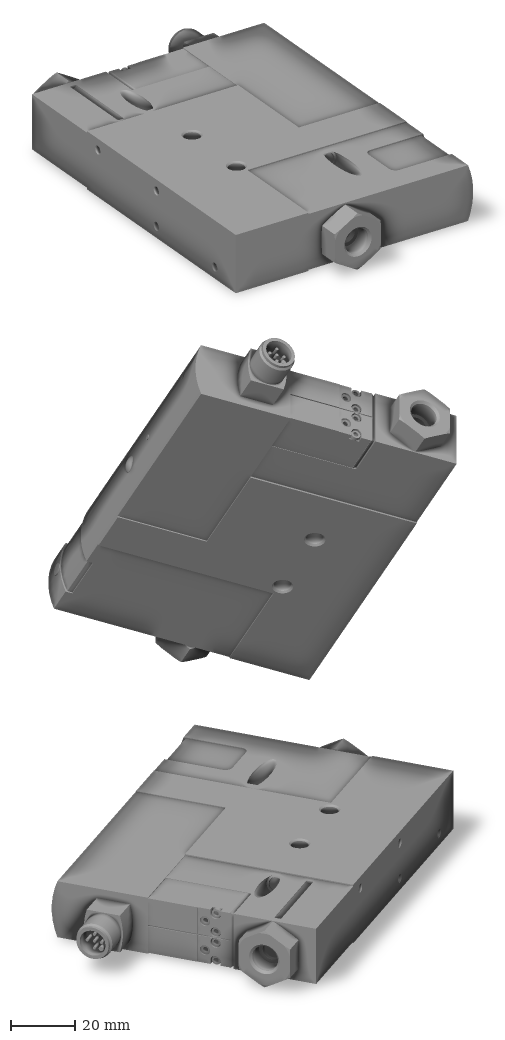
import cadquery as cq
import math


LENGTH = 115.0
HEIGHT = 20.5
HALF_HEIGHT = HEIGHT / 2
BACK_Y = 88.7
BACK_BULGE = 2.1

PANEL_DROP = 0.4
PANEL_SEAM = 0.1
COVER_END_X = 65.4
COVER_FRONT_Y = 56.4
PORT_PANEL_END_X = 31.2
OUTLET_PANEL_X = 80.5
OUTLET_PANEL_Y = 27.2

VALVE_END_X = 15.0
VALVE_FRONT_Y = 28.9
VALVE_GAP = 1.3
VALVE_GAP_DEPTH = 1.0
VALVE_FACE_SETBACK = 0.1
SCREW_PLATE_Y = 39.8
SCREW_PLATE_SETBACK = 0.3
VALVE_SPLIT = 0.4
VALVE_SPLIT_DEPTH = 0.5

SCREW_Y = 33.8
SCREW_ZS = (-8.2, -1.8, 1.8, 8.2)
SCREW_RECESS_DIA = 3.4
SCREW_RECESS_DEPTH = 2.3
SCREW_HEAD_DIA = 3.0
SCREW_HEAD_HEIGHT = 1.4
SCREW_SOCKET_DIA = 1.7
SCREW_SOCKET_DEPTH = 0.7
PLATE_BORE_Y = 37.4
PLATE_BORE_Z = 5.1
PLATE_BORE_DIA = 3.4
PLATE_BORE_DEPTH = 0.5
PLATE_BORE_PILOT_DIA = 1.7
PLATE_BORE_PILOT_DEPTH = 1.4

POCKET_X = 89.7
POCKET_END_X = 105.9
POCKET_FRONT_Y = 64.9
POCKET_DEPTH = 0.4
POCKET_RADIUS = 2.4

MOUNT_XS = (51.2, 76.3)
MOUNT_Y = 26.0
MOUNT_DIA = 5.5
MOUNT_CHAMFER = 0.5

FRONT_HOLE_X = 37.2
FRONT_HOLE_PITCH = 33.0
FRONT_HOLE_Z = 6.2
FRONT_HOLE_DIA = 2.4
FRONT_HOLE_MOUTH_DIA = 3.0
FRONT_HOLE_DEPTH = 5.6

SLANT_DIA = 5.6
SLANT_SCREW_DIA = 4.2
SLANT_SCREW_DEPTH = 0.7
OUTLET_SLANT_X = 92.1
OUTLET_SLANT_Y = 55.0
OUTLET_SLANT_ANGLE = 16.0
OUTLET_SLANT_REACH = 7.8
PORT_SLANT_X = 21.5
PORT_SLANT_Y = 25.0
PORT_SLANT_ANGLE = 20.0
PORT_SLANT_REACH = 7.0
SLANT_CUT_LENGTH = 28.2

GROOVE_X = 2.3
GROOVE_END_X = 29.5
GROOVE_Y = 13.8
GROOVE_WIDTH = 2.3

BACK_DETAIL_ROOT = 0.4
LAMP_X = 51.6
LAMP_DIA = 5.5
LAMP_HEIGHT = 1.0
BUTTON_X = 107.9
BUTTON_DIA = 4.0
BUTTON_HEIGHT = 0.3
STUD_X = 37.1
STUD_DIA = 1.7
STUD_HEIGHT = 0.3
BACK_RECESS_X = 11.0
BACK_RECESS_Z = 5.4
BACK_RECESS_DIA = 3.1
BACK_RECESS_DEPTH = 1.1

HEX_FLATS = 17.2
HEX_LENGTH = 7.5
HEX_CHAMFER_DIA = 18.0
HEX_CHAMFER_HEIGHT = 0.3
NECK_DIA = 14.0
INLET_NECK = 0.4
OUTLET_NECK = 1.0
INLET_Y = 14.2
OUTLET_Y = 40.0
TUBE_MOUTH_DIA = 10.2
TUBE_DIA = 8.6
TUBE_DEPTH = 6.3
FLOW_DIA = 6.0

PLUG_Y = 68.0
PLUG_LENGTH = 17.5
BASE_LENGTH = 8.5
BASE_HEIGHT = 12.8
BASE_FLAT_WIDTH = 11.1
BASE_WIDTH = 13.1
SLEEVE_DIA = 12.0
SLEEVE_TIP_DIA = 10.9
SLEEVE_TIP_LENGTH = 1.0
SLEEVE_TAPER_LENGTH = 0.5
SOCKET_DIA = 8.6
SOCKET_DEPTH = 5.6
CONTACT_DIA = 1.0
CONTACT_LENGTH = 4.2
CONTACT_PITCH_RADIUS = 2.4
KEY_DIA = 1.5
KEY_OFFSET = 2.3


def box(x0, x1, y0, y1, z0, z1):
    """Box between two opposite corners."""
    return cq.Workplane("XY").box(x1 - x0, y1 - y0, z1 - z0, centered=False).translate((x0, y0, z0))


def rod(start, direction, length, dia):
    """Cylinder from a start point along a direction."""
    return cq.Workplane(cq.Solid.makeCylinder(dia / 2, length, cq.Vector(*start), cq.Vector(*direction)))


def cone(start, direction, length, dia, end_dia):
    """Truncated cone from a start point along a direction."""
    solid = cq.Solid.makeCone(dia / 2, end_dia / 2, length, cq.Vector(*start), cq.Vector(*direction))
    return cq.Workplane(solid)


def housing_profile(half_height, back_y):
    """Bar along X with a flat front and a gently curved back."""
    edge_y = back_y - BACK_BULGE
    return (
        cq.Workplane("YZ")
        .moveTo(0, -half_height)
        .lineTo(0, half_height)
        .lineTo(edge_y, half_height)
        .threePointArc((back_y, 0), (edge_y, -half_height))
        .close()
        .extrude(LENGTH)
    )


def lower_panel(body, x0, x1, y0, y1, level):
    """Cut a rectangular area on both sides down to the given distance from the mid-plane."""
    upper = box(x0, x1, y0, y1, level, HALF_HEIGHT)
    return body.cut(upper).cut(upper.mirror("XY"))


def cut_panels(body):
    """Step the cover, outlet, port and valve areas down from the middle block."""
    level = HALF_HEIGHT - PANEL_DROP
    body = lower_panel(body, 0, COVER_END_X, COVER_FRONT_Y, BACK_Y, level)
    body = lower_panel(body, OUTLET_PANEL_X, LENGTH, OUTLET_PANEL_Y, BACK_Y, level)
    body = lower_panel(body, 0, PORT_PANEL_END_X, 0, COVER_FRONT_Y, level - PANEL_SEAM)
    return lower_panel(body, 0, VALVE_END_X, VALVE_FRONT_Y, COVER_FRONT_Y, level - 2 * PANEL_SEAM)


def cut_valves(body):
    """Set back the valve faces, split the two valves and part them from the port block."""
    gap_y = VALVE_FRONT_Y - VALVE_GAP
    body = body.cut(box(0, VALVE_FACE_SETBACK, gap_y, COVER_FRONT_Y, -HALF_HEIGHT, HALF_HEIGHT))
    body = body.cut(box(0, SCREW_PLATE_SETBACK, gap_y, SCREW_PLATE_Y, -HALF_HEIGHT, HALF_HEIGHT))
    split = box(0, VALVE_SPLIT_DEPTH, gap_y, COVER_FRONT_Y, -VALVE_SPLIT / 2, VALVE_SPLIT / 2)
    level = HALF_HEIGHT - PANEL_DROP - PANEL_SEAM
    gap = (
        cq.Workplane("YZ")
        .polyline([(gap_y, level), (gap_y, level - VALVE_GAP_DEPTH), (VALVE_FRONT_Y, level)])
        .close()
        .extrude(VALVE_END_X)
    )
    side_gap = (
        cq.Workplane("XY")
        .polyline([(0, gap_y), (VALVE_GAP_DEPTH, gap_y), (0, VALVE_FRONT_Y)])
        .close()
        .extrude(HALF_HEIGHT, both=True)
    )
    return body.cut(split).cut(gap).cut(gap.mirror("XY")).cut(side_gap)


def cut_screw_plate(body):
    """Recessed socket screws and small bores; the outer screw recesses are open to the outside."""
    half_width = SCREW_RECESS_DIA / 2
    for z in SCREW_ZS:
        body = body.cut(rod((0, SCREW_Y, z), (1, 0, 0), SCREW_RECESS_DEPTH, SCREW_RECESS_DIA))
    outer_z = max(SCREW_ZS)
    mouth = box(0, SCREW_RECESS_DEPTH, SCREW_Y - half_width, SCREW_Y + half_width, outer_z, HALF_HEIGHT)
    body = body.cut(mouth).cut(mouth.mirror("XY"))
    head_x = SCREW_RECESS_DEPTH - SCREW_HEAD_HEIGHT
    for z in SCREW_ZS:
        head = rod((head_x, SCREW_Y, z), (1, 0, 0), SCREW_HEAD_HEIGHT, SCREW_HEAD_DIA)
        socket = rod((head_x, SCREW_Y, z), (1, 0, 0), SCREW_SOCKET_DEPTH, SCREW_SOCKET_DIA)
        body = body.union(head.cut(socket))
    for z in (-PLATE_BORE_Z, PLATE_BORE_Z):
        start = (SCREW_PLATE_SETBACK, PLATE_BORE_Y, z)
        body = body.cut(rod(start, (1, 0, 0), PLATE_BORE_DEPTH, PLATE_BORE_DIA))
        body = body.cut(rod(start, (1, 0, 0), PLATE_BORE_PILOT_DEPTH, PLATE_BORE_PILOT_DIA))
    return body


def cut_label_pocket(body):
    """Shallow pocket that follows the upper side and the back."""
    window = (
        box(POCKET_X, POCKET_END_X, POCKET_FRONT_Y, BACK_Y, 0, HALF_HEIGHT)
        .edges("|Z and <Y")
        .fillet(POCKET_RADIUS)
        .union(box(POCKET_X, POCKET_END_X, BACK_Y - 2 * BACK_BULGE, BACK_Y, -HALF_HEIGHT, 0))
    )
    floor = housing_profile(HALF_HEIGHT - PANEL_DROP - POCKET_DEPTH, BACK_Y - POCKET_DEPTH)
    return body.cut(window.cut(floor))


def cut_mounting_holes(body):
    """Through holes chamfered at both ends."""
    mouth_dia = MOUNT_DIA + 2 * MOUNT_CHAMFER
    for x in MOUNT_XS:
        body = body.cut(rod((x, MOUNT_Y, -HALF_HEIGHT), (0, 0, 1), HEIGHT, MOUNT_DIA))
        for side in (-1, 1):
            start = (x, MOUNT_Y, side * HALF_HEIGHT)
            body = body.cut(cone(start, (0, 0, -side), MOUNT_CHAMFER, mouth_dia, MOUNT_DIA))
    return body


def cut_front_holes(body):
    """Two diagonal pairs of threaded holes that share the middle position."""
    places = [(0, 1), (1, 1), (1, -1), (2, -1)]
    mouth_depth = (FRONT_HOLE_MOUTH_DIA - FRONT_HOLE_DIA) / 2
    for step, side in places:
        start = (FRONT_HOLE_X + step * FRONT_HOLE_PITCH, 0, side * FRONT_HOLE_Z)
        body = body.cut(rod(start, (0, 1, 0), FRONT_HOLE_DEPTH, FRONT_HOLE_DIA))
        body = body.cut(cone(start, (0, 1, 0), mouth_depth, FRONT_HOLE_MOUTH_DIA, FRONT_HOLE_DIA))
    return body


def cut_slanted_bore(body, x, y, level, angle, reach, inward):
    """Bore sinking from the upper side toward inward (+1 or -1 along X), with a screw seat at its end."""
    run = inward * math.cos(math.radians(angle))
    rise = math.sin(math.radians(angle))
    end = (x + run * reach, y, level - rise * reach)
    body = body.cut(rod(end, (-run, 0, rise), SLANT_CUT_LENGTH, SLANT_DIA))
    return body.cut(rod(end, (run, 0, -rise), SLANT_SCREW_DEPTH, SLANT_SCREW_DIA))


def cut_upper_side(body):
    """Slanted screw bores beside both ports and the long groove."""
    level = HALF_HEIGHT - PANEL_DROP
    port_level = level - PANEL_SEAM
    body = cut_slanted_bore(
        body, OUTLET_SLANT_X, OUTLET_SLANT_Y, level, OUTLET_SLANT_ANGLE, OUTLET_SLANT_REACH, -1
    )
    body = cut_slanted_bore(
        body, PORT_SLANT_X, PORT_SLANT_Y, port_level, PORT_SLANT_ANGLE, PORT_SLANT_REACH, 1
    )
    groove_length = GROOVE_END_X - GROOVE_X
    return body.cut(rod((GROOVE_X, GROOVE_Y, port_level), (1, 0, 0), groove_length, GROOVE_WIDTH))


def add_back_details(body):
    """Domed lamp, button, stud and a small recess along the back."""
    lamp_radius = (LAMP_DIA**2 / 4 + LAMP_HEIGHT**2) / (2 * LAMP_HEIGHT)
    lamp_ball = cq.Workplane("XY").sphere(lamp_radius)
    lamp_ball = lamp_ball.translate((LAMP_X, BACK_Y + LAMP_HEIGHT - lamp_radius, 0))
    root_y = BACK_Y - BACK_DETAIL_ROOT
    lamp = rod((LAMP_X, root_y, 0), (0, 1, 0), BACK_DETAIL_ROOT + LAMP_HEIGHT, LAMP_DIA).intersect(lamp_ball)
    button = rod((BUTTON_X, root_y, 0), (0, 1, 0), BACK_DETAIL_ROOT + BUTTON_HEIGHT, BUTTON_DIA)
    stud = rod((STUD_X, root_y, 0), (0, 1, 0), BACK_DETAIL_ROOT + STUD_HEIGHT, STUD_DIA)
    recess = rod((BACK_RECESS_X, BACK_Y, BACK_RECESS_Z), (0, -1, 0), BACK_RECESS_DEPTH, BACK_RECESS_DIA)
    return body.union(lamp).union(button).union(stud).cut(recess)


def make_housing():
    """Housing block with all its panels, bores and small details."""
    body = cut_panels(housing_profile(HALF_HEIGHT, BACK_Y))
    body = cut_valves(body)
    body = cut_screw_plate(body)
    body = cut_label_pocket(body)
    body = cut_mounting_holes(body)
    body = cut_front_holes(body)
    body = cut_upper_side(body)
    return add_back_details(body)


def make_fitting(face_x, y, outward, neck):
    """Hexagonal tube fitting on a housing end face, pointing outward (+1 or -1 along X)."""
    axis = (outward, 0, 0)

    def at(distance):
        """Point on the fitting axis at a distance from the housing."""
        return (face_x + outward * distance, y, 0)

    tip = neck + HEX_LENGTH
    corner_dia = HEX_FLATS / math.cos(math.pi / 6)
    hexagon = (
        cq.Workplane("YZ")
        .polygon(6, corner_dia)
        .extrude(outward * HEX_LENGTH)
        .rotate((0, 0, 0), (1, 0, 0), 90)
        .translate(at(neck))
    )
    middle = HEX_LENGTH - 2 * HEX_CHAMFER_HEIGHT
    envelope = (
        cone(at(neck), axis, HEX_CHAMFER_HEIGHT, HEX_CHAMFER_DIA, corner_dia)
        .union(rod(at(neck + HEX_CHAMFER_HEIGHT), axis, middle, corner_dia))
        .union(cone(at(tip - HEX_CHAMFER_HEIGHT), axis, HEX_CHAMFER_HEIGHT, corner_dia, HEX_CHAMFER_DIA))
    )
    inward = (-outward, 0, 0)
    mouth_depth = (TUBE_MOUTH_DIA - TUBE_DIA) / 2
    return (
        hexagon.intersect(envelope)
        .union(rod(at(0), axis, neck, NECK_DIA))
        .cut(cone(at(tip), inward, mouth_depth, TUBE_MOUTH_DIA, TUBE_DIA))
        .cut(rod(at(tip), inward, TUBE_DEPTH, TUBE_DIA))
        .cut(rod(at(0), axis, tip, FLOW_DIA))
    )


def make_plug():
    """Plug connector: a base with bulged sides and a sleeve holding five contacts and a key."""
    half_flat = BASE_FLAT_WIDTH / 2
    half_width = BASE_WIDTH / 2
    half_height = BASE_HEIGHT / 2
    base = (
        cq.Workplane("YZ")
        .moveTo(-half_flat, -half_height)
        .lineTo(half_flat, -half_height)
        .threePointArc((half_width, 0), (half_flat, half_height))
        .lineTo(-half_flat, half_height)
        .threePointArc((-half_width, 0), (-half_flat, -half_height))
        .close()
        .extrude(-BASE_LENGTH)
    )
    tip_x = -PLUG_LENGTH
    taper_x = tip_x + SLEEVE_TIP_LENGTH
    sleeve_x = taper_x + SLEEVE_TAPER_LENGTH
    plug = (
        base.union(rod((sleeve_x, 0, 0), (1, 0, 0), -BASE_LENGTH - sleeve_x, SLEEVE_DIA))
        .union(cone((taper_x, 0, 0), (1, 0, 0), SLEEVE_TAPER_LENGTH, SLEEVE_TIP_DIA, SLEEVE_DIA))
        .union(rod((tip_x, 0, 0), (1, 0, 0), SLEEVE_TIP_LENGTH, SLEEVE_TIP_DIA))
        .cut(rod((tip_x, 0, 0), (1, 0, 0), SOCKET_DEPTH, SOCKET_DIA))
    )
    floor_x = tip_x + SOCKET_DEPTH
    r = CONTACT_PITCH_RADIUS
    for y, z in [(0, 0), (r, 0), (-r, 0), (0, r), (0, -r)]:
        plug = plug.union(rod((floor_x, y, z), (-1, 0, 0), CONTACT_LENGTH, CONTACT_DIA))
    plug = plug.union(rod((floor_x, -KEY_OFFSET, -KEY_OFFSET), (-1, 0, 0), CONTACT_LENGTH, KEY_DIA))
    return plug.translate((0, PLUG_Y, 0))


housing = make_housing()
plug = make_plug()
fittings = [
    make_fitting(0, INLET_Y, -1, INLET_NECK),
    make_fitting(LENGTH, OUTLET_Y, 1, OUTLET_NECK),
]

result = cq.Compound.makeCompound([housing.val(), plug.val(), *[fitting.val() for fitting in fittings]])